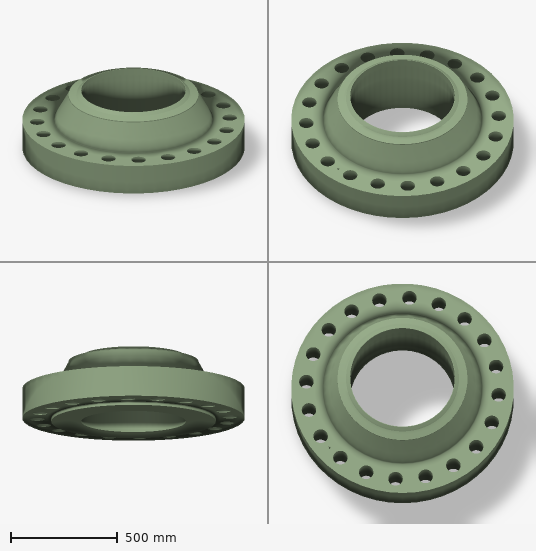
import cadquery as cq
import math


total_height = 308.0
raised_face_height = 16.0
flange_thickness = 142.0
hub_collar_height = 4.0
shoulder_rise = 9.0
weld_bevel_height = 12.0

flange_radius = 521.0
raised_face_radius = 385.0
hub_base_radius = 374.0
hub_root_fillet = 5.0
hub_top_radius = 304.0
weld_bevel_radius = 264.0
weld_land_width = 2.0
bore_radius = 245.0

bolt_count = 20
bolt_circle_radius = 451.0
bolt_hole_diameter = 68.0
first_bolt_angle = 90

small_hole_diameter = 6.0
small_hole_depth = 21.0
small_recess_diameter = 12.0
small_recess_depth = 3.0

flange_top = raised_face_height + flange_thickness
bevel_bottom = total_height - weld_bevel_height
collar_top = bevel_bottom - shoulder_rise
collar_bottom = collar_top - hub_collar_height
bolt_pitch = 360 / bolt_count
small_hole_angle = first_bolt_angle + bolt_pitch / 2


def revolved_body():
    """Flange, raised face, tapered hub and bevelled weld end with the bore, as one revolved profile."""
    profile = [
        (bore_radius, 0),
        (raised_face_radius, 0),
        (raised_face_radius, raised_face_height),
        (flange_radius, raised_face_height),
        (flange_radius, flange_top),
        (hub_base_radius, flange_top),
        (hub_top_radius, collar_bottom),
        (hub_top_radius, collar_top),
        (weld_bevel_radius, bevel_bottom),
        (bore_radius + weld_land_width, total_height),
        (bore_radius, total_height),
    ]
    body = cq.Workplane("XZ").polyline(profile).close().revolve(360, (0, 0), (0, 1))
    hub_root = body.edges(cq.selectors.RadiusNthSelector(-3))
    return hub_root.fillet(hub_root_fillet)


def vertical_hole(angle, diameter, depth):
    """Cylinder on the bolt circle, reaching down from the flange top."""
    x = bolt_circle_radius * math.cos(math.radians(angle))
    y = bolt_circle_radius * math.sin(math.radians(angle))
    floor = cq.Workplane("XY", origin=(x, y, flange_top - depth))
    return floor.circle(diameter / 2).extrude(depth)


result = revolved_body()

for index in range(bolt_count):
    bolt_angle = first_bolt_angle + index * bolt_pitch
    result = result.cut(vertical_hole(bolt_angle, bolt_hole_diameter, flange_thickness))

result = result.cut(vertical_hole(small_hole_angle, small_recess_diameter, small_recess_depth))
result = result.cut(vertical_hole(small_hole_angle, small_hole_diameter, small_hole_depth))